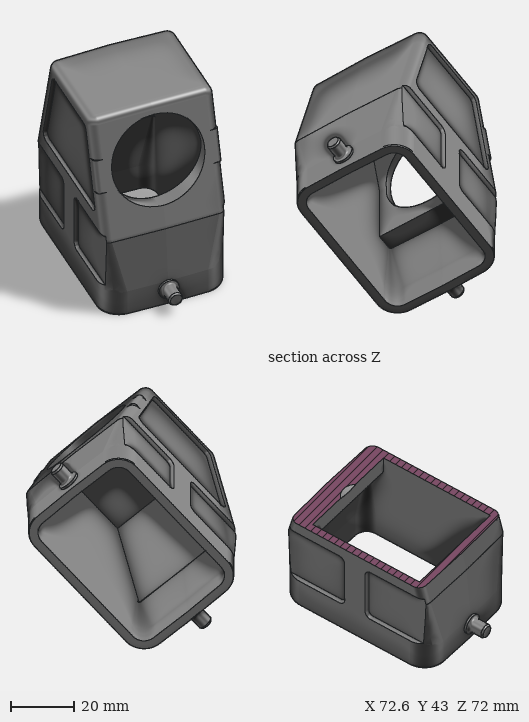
import cadquery as cq
import math

BASE_HALF_LENGTH = 29.9
HALF_WIDTH = 21.5
HEIGHT = 72.0
DRAFT = 1.0

BASE_HEIGHT = 9.15
BASE_CORNER_RADIUS = 7.6
LIP_HEIGHT = 0.5
LIP_INSET = 0.15
UPPER_LEAN = 15.0
BEND_HEIGHT = 29.9
BEND_HALF_LENGTH = 28.2
BEND_RADIUS = 5.45
EDGE_RADIUS = 3.0
LOWER_RUN = BASE_HALF_LENGTH - BEND_HALF_LENGTH
LOWER_LEAN = math.degrees(math.atan(LOWER_RUN / (BEND_HEIGHT - BASE_HEIGHT)))

BEND_TANGENT = BEND_RADIUS * math.tan(math.radians((UPPER_LEAN - LOWER_LEAN) / 2))
SHOULDER_HEIGHT = BEND_HEIGHT - BEND_TANGENT * math.cos(math.radians(LOWER_LEAN))

BORE_DIAMETER = 32.0
BORE_HEIGHT = 52.9
BORE_REACH = 21.8
ENTRY_INNER_X = 18.9
PAD_HEIGHT = 52.3
PAD_LENGTH = 11.6
PAD_EDGE_RADIUS = 1.5

WALL = 3.0
CAVITY_TOP_CORNER_RADIUS = 0.7

RECESS_DEPTH = 1.2
RECESS_WALL_DRAFT = 24.0
RECESS_CORNER_RADIUS = 2.3
UPPER_PANEL_BOTTOM = 37.0
UPPER_PANEL_TOP = 67.2
UPPER_PANEL_MARGIN = 4.8
LOWER_PANEL_BOTTOM = 10.8
LOWER_PANEL_TOP = 31.95
LOWER_PANEL_INNER_X = 4.1
LOWER_PANEL_OUTER_X = 36.3

PIN_HEIGHT = 6.25
PIN_TIP_X = 36.3
PIN_RADIUS = 2.4
PIN_TIP_RADIUS = 2.0
PIN_TIP_LENGTH = 0.65
COLLAR_RADIUS = 3.5
COLLAR_FACE_X = 30.65
PIN_ROOT_X = 28.3


def half_length(z):
    """Half length in X of the leaning walls on the Y = 0 plane."""
    lean = LOWER_LEAN if z < BEND_HEIGHT else UPPER_LEAN
    return BEND_HALF_LENGTH - (z - BEND_HEIGHT) * math.tan(math.radians(lean))


def plan_section(half_x, corner_radius, z, inset=0.0):
    """Horizontal section with ridged ends and rounded corners."""
    ridge_x = half_x - inset
    side_y = HALF_WIDTH - inset
    corner_x = ridge_x - side_y * math.tan(math.radians(DRAFT))
    points = [
        (ridge_x, 0), (corner_x, side_y), (-corner_x, side_y),
        (-ridge_x, 0), (-corner_x, -side_y), (corner_x, -side_y), (ridge_x, 0),
    ]
    section = cq.Sketch().polygon(points).vertices(">Y or <Y").fillet(corner_radius)
    return section.moved(cq.Location(cq.Vector(0, 0, z)))


def ruled_body(lower_section, upper_section):
    return cq.Workplane("XY").placeSketch(lower_section, upper_section).loft(ruled=True)


def lower_body():
    """Lip, upright base band and walls whose corners tighten towards the bend."""
    foot = plan_section(BASE_HALF_LENGTH, BASE_CORNER_RADIUS, 0, LIP_INSET)
    lip = plan_section(BASE_HALF_LENGTH, BASE_CORNER_RADIUS, LIP_HEIGHT)
    band = plan_section(BASE_HALF_LENGTH, BASE_CORNER_RADIUS, BASE_HEIGHT)
    shoulder = plan_section(half_length(SHOULDER_HEIGHT), EDGE_RADIUS, SHOULDER_HEIGHT)
    body = ruled_body(foot, lip)
    body = body.union(ruled_body(lip, band))
    return body.union(ruled_body(band, shoulder))


def upper_body(edge_radius):
    """Drafted half of the upper hood with rounded edges, mirrored about Y = 0."""
    arc_top = BEND_HEIGHT + BEND_TANGENT * math.cos(math.radians(UPPER_LEAN))
    arc_sagitta = BEND_TANGENT * math.tan(math.radians((UPPER_LEAN - LOWER_LEAN) / 4))
    mid_lean = math.radians((LOWER_LEAN + UPPER_LEAN) / 2)
    arc_mid_x = BEND_HALF_LENGTH - arc_sagitta * math.cos(mid_lean)
    arc_mid_z = BEND_HEIGHT - arc_sagitta * math.sin(mid_lean)
    arc_bottom = SHOULDER_HEIGHT
    half = (
        cq.Workplane("XZ")
        .moveTo(-half_length(0), 0)
        .lineTo(half_length(0), 0)
        .lineTo(half_length(arc_bottom), arc_bottom)
        .threePointArc((arc_mid_x, arc_mid_z), (half_length(arc_top), arc_top))
        .lineTo(half_length(HEIGHT), HEIGHT)
        .lineTo(-half_length(HEIGHT), HEIGHT)
        .lineTo(-half_length(arc_top), arc_top)
        .threePointArc((-arc_mid_x, arc_mid_z), (-half_length(arc_bottom), arc_bottom))
        .close()
        .extrude(HALF_WIDTH, taper=DRAFT)
    )
    below = cq.Workplane("XY").box(4 * BASE_HALF_LENGTH, 4 * HALF_WIDTH, 2 * SHOULDER_HEIGHT)
    half = half.cut(below)
    side_edges = half.faces("<Y").edges("not <Z").vals()
    roof_face = half.faces(">Z")
    roof_edges = roof_face.edges("<X").vals() + roof_face.edges(">X").vals()
    half = half.newObject(side_edges + roof_edges).fillet(edge_radius)
    return half.union(half.mirror("XZ"))


def on_entry_slope(z):
    """Workplane on the +X slope at height z, facing out along the bore axis."""
    lean = math.radians(UPPER_LEAN)
    return cq.Workplane(cq.Plane(
        origin=(half_length(z), 0, z),
        xDir=(0, 1, 0),
        normal=(math.cos(lean), 0, math.sin(lean)),
    ))


def entry_pad():
    """Stretch beside the bore where the slope keeps tighter rounded edges."""
    stretch = (
        on_entry_slope(PAD_HEIGHT)
        .rect(3 * HALF_WIDTH, PAD_LENGTH)
        .extrude(2 * EDGE_RADIUS, both=True)
    )
    return upper_body(PAD_EDGE_RADIUS).intersect(stretch)


def cavity():
    """Open-bottomed hollow; the entry wall is thickened above the bend."""
    foot = plan_section(BASE_HALF_LENGTH, BASE_CORNER_RADIUS - WALL, 0, WALL)
    band = plan_section(BASE_HALF_LENGTH, BASE_CORNER_RADIUS - WALL, BASE_HEIGHT, WALL)
    bend = plan_section(BEND_HALF_LENGTH, CAVITY_TOP_CORNER_RADIUS, BEND_HEIGHT, WALL)
    lower = ruled_body(foot, band).union(ruled_body(band, bend))

    roof = HEIGHT - WALL
    slope_wall = WALL / math.cos(math.radians(UPPER_LEAN))
    bend_x = BEND_HALF_LENGTH - slope_wall
    roof_x = half_length(roof) - slope_wall
    entry_top = BEND_HEIGHT + (bend_x - ENTRY_INNER_X) / math.tan(math.radians(UPPER_LEAN))
    upper_profile = [
        (-bend_x, BEND_HEIGHT), (ENTRY_INNER_X, BEND_HEIGHT), (ENTRY_INNER_X, entry_top),
        (roof_x, roof), (-roof_x, roof),
    ]
    upper = cq.Workplane("XZ").polyline(upper_profile).close().extrude(HALF_WIDTH - WALL, both=True)
    return lower.union(upper)


def panel_recess(outline):
    """Rounded recess with sloping walls, cut into the -Y side and mirrored to +Y."""
    rounded = cq.Sketch().polygon(outline + outline[:1]).vertices().fillet(RECESS_CORNER_RADIUS)
    recess = (
        cq.Workplane("XZ", origin=(0, -HALF_WIDTH, 0))
        .placeSketch(rounded)
        .extrude(-RECESS_DEPTH, taper=RECESS_WALL_DRAFT)
    )
    return recess.union(recess.mirror("XZ"))


def upper_panel():
    bottom_x = half_length(UPPER_PANEL_BOTTOM) - UPPER_PANEL_MARGIN
    top_x = half_length(UPPER_PANEL_TOP) - UPPER_PANEL_MARGIN
    return panel_recess([
        (-bottom_x, UPPER_PANEL_BOTTOM), (bottom_x, UPPER_PANEL_BOTTOM),
        (top_x, UPPER_PANEL_TOP), (-top_x, UPPER_PANEL_TOP),
    ])


def lower_panel():
    return panel_recess([
        (LOWER_PANEL_INNER_X, LOWER_PANEL_BOTTOM), (LOWER_PANEL_OUTER_X, LOWER_PANEL_BOTTOM),
        (LOWER_PANEL_OUTER_X, LOWER_PANEL_TOP), (LOWER_PANEL_INNER_X, LOWER_PANEL_TOP),
    ])


def locking_pin():
    """Turned +X pin with a bevelled tip and a hollow-curved collar."""
    flare = COLLAR_RADIUS - PIN_RADIUS
    flare_mid = flare * (1 - math.sqrt(0.5))
    return (
        cq.Workplane("XY", origin=(0, 0, PIN_HEIGHT))
        .moveTo(PIN_ROOT_X, 0)
        .lineTo(PIN_ROOT_X, COLLAR_RADIUS)
        .lineTo(COLLAR_FACE_X, COLLAR_RADIUS)
        .threePointArc(
            (COLLAR_FACE_X + flare_mid, PIN_RADIUS + flare_mid),
            (COLLAR_FACE_X + flare, PIN_RADIUS),
        )
        .lineTo(PIN_TIP_X - PIN_TIP_LENGTH, PIN_RADIUS)
        .lineTo(PIN_TIP_X, PIN_TIP_RADIUS)
        .lineTo(PIN_TIP_X, 0)
        .close()
        .revolve(360, (0, 0, 0), (1, 0, 0))
    )


hood = lower_body().union(upper_body(EDGE_RADIUS)).union(entry_pad())
hood = hood.cut(cavity())
hood = hood.cut(on_entry_slope(BORE_HEIGHT).circle(BORE_DIAMETER / 2).extrude(-BORE_REACH))
hood = hood.cut(upper_panel())

right_panel = lower_panel()
right_pin = locking_pin()
result = (
    hood.cut(right_panel)
    .cut(right_panel.mirror("YZ"))
    .union(right_pin)
    .union(right_pin.mirror("YZ"))
)